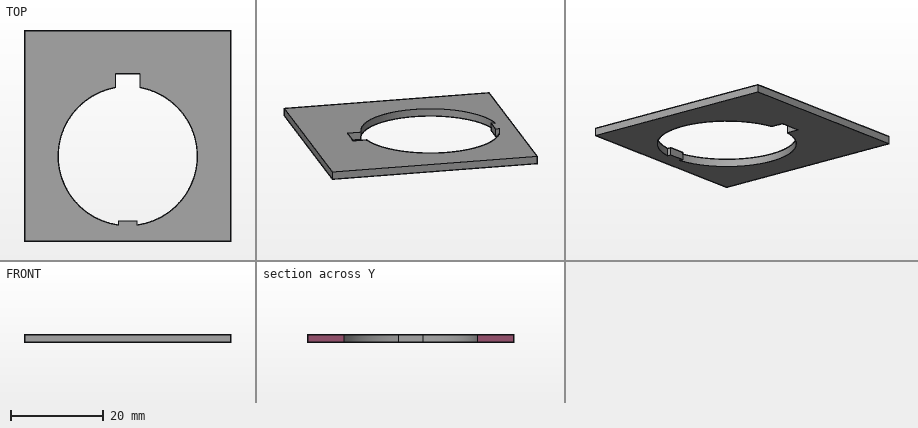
import cadquery as cq

plate_width = 44.8
plate_length = 45.75
plate_thickness = 1.7

opening_radius = 15.1
opening_center_y = -4.35

notch_width = 5.3
notch_top_y = 13.5

tab_width = 4.1
tab_top_y = -18.45


def make_plate():
    return cq.Workplane("XY").box(plate_width, plate_length, plate_thickness)


def make_notch():
    """Rectangular keyway from the opening center up to the notch top."""
    notch_length = notch_top_y - opening_center_y
    return (
        cq.Workplane("XY")
        .center(0, opening_center_y + notch_length / 2)
        .box(notch_width, notch_length, plate_thickness)
    )


def make_tab():
    """Block that fills the lower end of the opening up to the tab top."""
    tab_bottom_y = opening_center_y - opening_radius
    tab_height = tab_top_y - tab_bottom_y
    return (
        cq.Workplane("XY")
        .center(0, tab_bottom_y + tab_height / 2)
        .box(tab_width, tab_height, plate_thickness)
    )


def make_opening():
    """Keyed through opening: disc, less the tab, plus the notch."""
    disc = (
        cq.Workplane("XY")
        .center(0, opening_center_y)
        .cylinder(plate_thickness, opening_radius)
    )
    return disc.cut(make_tab()).union(make_notch())


result = make_plate().cut(make_opening())